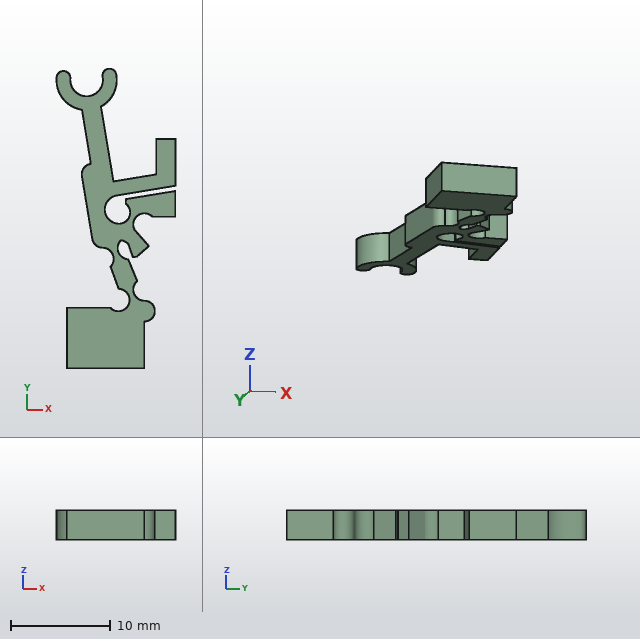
import cadquery as cq
import math

thickness = 3.0
total_height = 30.27
tilt = 9.4

base_width = 7.85
base_height = 6.15
knob_radius = 1.05
knob_center = (base_width, 5.78)

hinge_radius = 1.12
lower_left_notch = (5.2, 6.9)
lower_right_notch = (base_width, knob_center[1] + knob_radius + hinge_radius)
upper_left_notch = (3.6, 11.05)
upper_right_notch = (6.27, 12.15)
pad_notch = (7.85, 14.53)

slot_shoulder = (6.2, 12.53)
slot_crown = (5.95, 12.75)
stub_points = [(6.65, 11.23), (7.05, 11.25), (8.3, 12.35)]

pad_right = 10.95
pad_bottom = 15.3
pad_top = 17.92
pad_tip = (5.95, 17.1)
eye_radius = 1.42
eye_hinge = (5.27, 15.75)
eye_center = (eye_hinge[0], eye_hinge[1] - hinge_radius + eye_radius)

bracket_right = 11.0
bracket_left = 9.02
bracket_top = 23.2
arm_corner = (4.72, 18.9)

shoulder_radius = 1.1
lower_shoulder = (3.63, 13.25)
shoulder_spacing = 6.42
upper_shoulder = (
    lower_shoulder[0] - shoulder_spacing * math.sin(math.radians(tilt)),
    lower_shoulder[1] + shoulder_spacing * math.cos(math.radians(tilt)),
)

hook_center = (2.0, 29.12)
hook_inner = 1.63
hook_outer = 3.05
hook_middle = (hook_inner + hook_outer) / 2
tip_radius = (hook_outer - hook_inner) / 2
right_tip_angle = math.degrees(math.asin((total_height - tip_radius - hook_center[1]) / hook_middle))
left_tip_angle = 175.0


def on_circle(center, radius, angle):
    """Point on a circle at an angle in degrees, measured from +X."""
    a = math.radians(angle)
    return (center[0] + radius * math.cos(a), center[1] + radius * math.sin(a))


def arc(path, center, radius, start, end):
    """Join the path to the arc's start with a line if needed, then follow the arc."""
    first = on_circle(center, radius, start)
    if math.dist(path.val().endPoint().toTuple()[:2], first) > 3.03e-05:
        path = path.lineTo(*first)
    middle = on_circle(center, radius, (start + end) / 2)
    return path.threePointArc(middle, on_circle(center, radius, end))


def rise(run):
    """Height gained along a tilted edge over a horizontal run."""
    return run * math.tan(math.radians(tilt))


def right_hinges(path):
    path = arc(path, knob_center, knob_radius, -90, 90)
    path = arc(path, lower_right_notch, hinge_radius, 270, 130)
    path = arc(path, upper_right_notch, hinge_radius, 267, 135)
    return path.threePointArc(slot_crown, slot_shoulder)


def stub_and_pad(path):
    for point in stub_points:
        path = path.lineTo(*point)
    pad_notch_end = math.degrees(math.asin((pad_bottom - pad_notch[1]) / hinge_radius))
    path = arc(path, pad_notch, hinge_radius, 211, pad_notch_end)
    return path.lineTo(pad_right, pad_bottom).lineTo(pad_right, pad_top).lineTo(*pad_tip)


def eye_and_bracket(path):
    path = arc(path, eye_hinge, hinge_radius, 54, -90)
    path = arc(path, eye_center, eye_radius, 270, 90 + tilt)
    slot_start = on_circle(eye_center, eye_radius, 90 + tilt)
    path = path.lineTo(bracket_right, slot_start[1] + rise(bracket_right - slot_start[0]))
    path = path.lineTo(bracket_right, bracket_top).lineTo(bracket_left, bracket_top)
    path = path.lineTo(bracket_left, arm_corner[1] + rise(bracket_left - arm_corner[0]))
    return path.lineTo(*arm_corner)


def hook(path):
    right_tip = on_circle(hook_center, hook_middle, right_tip_angle)
    left_tip = on_circle(hook_center, hook_middle, left_tip_angle)
    path = arc(path, hook_center, hook_outer, -61.5, right_tip_angle)
    path = arc(path, right_tip, tip_radius, right_tip_angle, right_tip_angle + 180)
    path = arc(path, hook_center, hook_inner, right_tip_angle, left_tip_angle - 360)
    path = arc(path, left_tip, tip_radius, left_tip_angle - 180, left_tip_angle)
    return arc(path, hook_center, hook_outer, left_tip_angle, 261)


def left_edge(path):
    path = arc(path, upper_shoulder, shoulder_radius, 99, 180 + tilt)
    path = arc(path, lower_shoulder, shoulder_radius, 180 + tilt, 270)
    path = arc(path, upper_left_notch, hinge_radius, 90, -44)
    base_notch_end = math.degrees(math.asin((lower_left_notch[1] - base_height) / hinge_radius)) - 180
    path = arc(path, lower_left_notch, hinge_radius, 89, base_notch_end)
    return path.lineTo(0, base_height)


outline = cq.Workplane("XY").moveTo(0, 0).lineTo(base_width, 0)
for section in (right_hinges, stub_and_pad, eye_and_bracket, hook, left_edge):
    outline = section(outline)

result = outline.close().extrude(thickness)